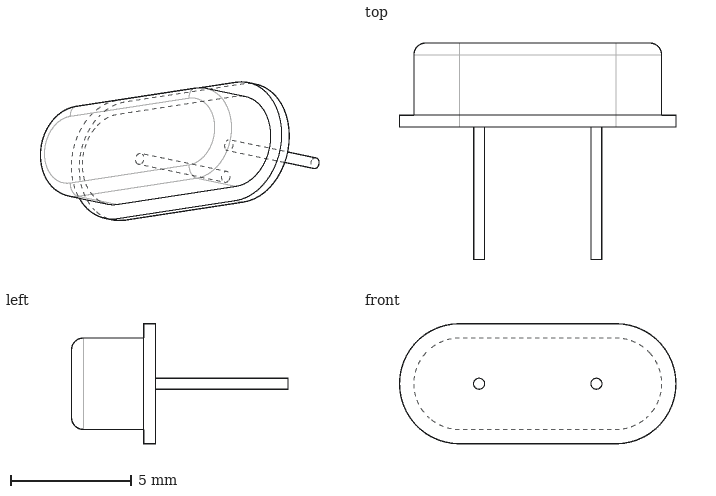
import cadquery as cq

flange_length = 11.5
flange_width = 5.0
flange_thickness = 0.5

total_depth = 9.0
can_height = 3.0
rim = 0.6
can_edge_radius = 0.5

lead_diameter = 0.46
lead_spacing = 4.88
lead_length = total_depth - flange_thickness - can_height


def stadium(length, width, start_y, depth):
    """Stadium prism centred on the Y axis, running from start_y toward +Y."""
    return (
        cq.Workplane("XZ", origin=(0, start_y, 0))
        .slot2D(length, width)
        .extrude(-depth)
    )


flange = stadium(flange_length, flange_width, 0, flange_thickness)

can = stadium(
    flange_length - 2 * rim,
    flange_width - 2 * rim,
    flange_thickness,
    can_height,
)
can = can.faces(">Y").edges().fillet(can_edge_radius)

leads = (
    cq.Workplane("XZ")
    .pushPoints([(-lead_spacing / 2, 0), (lead_spacing / 2, 0)])
    .circle(lead_diameter / 2)
    .extrude(lead_length)
)

result = flange.union(can).union(leads)